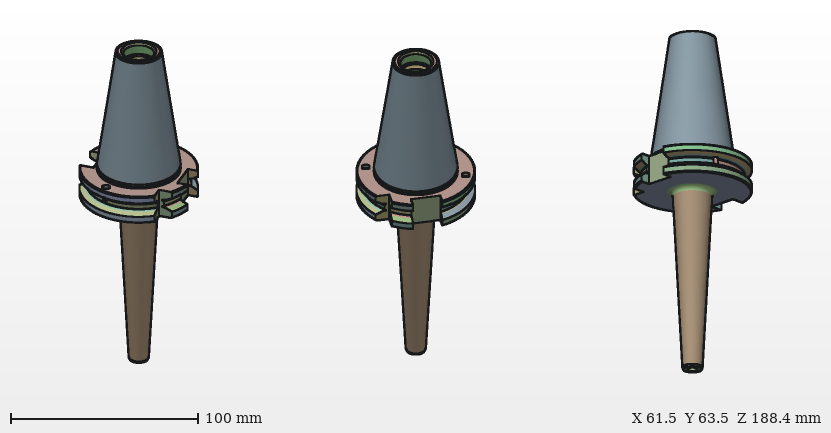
import cadquery as cq
import math

TOTAL_LENGTH = 188.4

TAPER_RATIO = 7 / 24
TAPER_LENGTH = 68.4
GAUGE_DIAMETER = 44.7
TAPER_TOP_CHAMFER = 1.1
TAPER_TOP_CHAMFER_HEIGHT = 0.5
TAPER_BOTTOM_Z = -0.8

RELIEF_DEPTH = 0.4
RELIEF_BOTTOM_Z = -2.8

FLANGE_DIAMETER = 63.5
FLANGE_TOP_Z = -3.2
FLANGE_BOTTOM_Z = -19.2
RIM_CHAMFER = 0.5

GROOVE_CENTRE_Z = -11.1
GROOVE_MOUTH_WIDTH = 8.3
GROOVE_FLOOR_DIAMETER = 56.1
GROOVE_FLOOR_WIDTH = 2.6
GROOVE_FLANK_END_RADIUS = 29.0
GROOVE_CORNER_RELIEF = 0.8
GROOVE_CORNER_WIDTH = 4.1
GROOVE_FLANK_ANGLE = 30.0

SLOT_WIDTH = 16.0
LEFT_SLOT_FLOOR_X = -22.8
RIGHT_SLOT_FLOOR_X = 25.0
NOTCH_OFFSET = 18.5

NECK_RADIUS = 10.5
NECK_FILLET = 2.8
TIP_RADIUS = 5.5
TIP_CHAMFER = 0.5
TIP_CHAMFER_HEIGHT = 1.1

MOUTH_RADIUS = 9.5
COUNTERBORE_RADIUS = 8.3
COUNTERBORE_DEPTH = 6.4
BORE_RELIEF_DEPTH = 0.4
BORE_RELIEF_HEIGHT = 2.0
THREAD_BORE_RADIUS = 7.0
THREAD_BORE_DEPTH = 32.0
DRILL_POINT_ANGLE = 118.0
CENTRE_BORE_RADIUS = 2.6

COOLANT_CIRCLE_RADIUS = 27.0
COOLANT_SEAT_DIAMETER = 4.1
COOLANT_SEAT_DEPTH = 2.3
COOLANT_HOLE_DIAMETER = 3.4
COOLANT_START_ANGLE = 70.0
COOLANT_HOLE_COUNT = 2

flange_radius = FLANGE_DIAMETER / 2
tip_z = TAPER_LENGTH - TOTAL_LENGTH


def taper_radius(z):
    """Radius of the taper at height z."""
    return (GAUGE_DIAMETER - z * TAPER_RATIO) / 2


def make_body():
    """Taper, flange and nose turned from one half profile (radius, height)."""
    chamfer_z = TAPER_LENGTH - TAPER_TOP_CHAMFER_HEIGHT
    chamfer_radius = taper_radius(chamfer_z)
    collar_radius = taper_radius(TAPER_BOTTOM_Z)
    relief_radius = collar_radius - RELIEF_DEPTH
    floor_radius = GROOVE_FLOOR_DIAMETER / 2
    corner_radius = floor_radius - GROOVE_CORNER_RELIEF
    half_floor = GROOVE_FLOOR_WIDTH / 2
    half_mouth = GROOVE_MOUTH_WIDTH / 2
    half_corner = GROOVE_CORNER_WIDTH / 2
    flank_height = (flange_radius - GROOVE_FLANK_END_RADIUS) * math.tan(math.radians(GROOVE_FLANK_ANGLE))
    half_flank_end = half_mouth - flank_height
    return (
        cq.Workplane("YZ")
        .moveTo(0, TAPER_LENGTH)
        .lineTo(chamfer_radius - TAPER_TOP_CHAMFER, TAPER_LENGTH)
        .lineTo(chamfer_radius, chamfer_z)
        .lineTo(collar_radius, TAPER_BOTTOM_Z)
        .lineTo(relief_radius, TAPER_BOTTOM_Z - RELIEF_DEPTH)
        .lineTo(relief_radius, RELIEF_BOTTOM_Z + RELIEF_DEPTH)
        .lineTo(collar_radius, RELIEF_BOTTOM_Z)
        .lineTo(collar_radius, FLANGE_TOP_Z)
        .lineTo(flange_radius - RIM_CHAMFER, FLANGE_TOP_Z)
        .lineTo(flange_radius, FLANGE_TOP_Z - RIM_CHAMFER)
        .lineTo(flange_radius, GROOVE_CENTRE_Z + half_mouth)
        .lineTo(GROOVE_FLANK_END_RADIUS, GROOVE_CENTRE_Z + half_flank_end)
        .lineTo(corner_radius, GROOVE_CENTRE_Z + half_corner)
        .lineTo(floor_radius, GROOVE_CENTRE_Z + half_floor)
        .lineTo(floor_radius, GROOVE_CENTRE_Z - half_floor)
        .lineTo(corner_radius, GROOVE_CENTRE_Z - half_corner)
        .lineTo(GROOVE_FLANK_END_RADIUS, GROOVE_CENTRE_Z - half_flank_end)
        .lineTo(flange_radius, GROOVE_CENTRE_Z - half_mouth)
        .lineTo(flange_radius, FLANGE_BOTTOM_Z + RIM_CHAMFER)
        .lineTo(flange_radius - RIM_CHAMFER, FLANGE_BOTTOM_Z)
        .lineTo(NECK_RADIUS + NECK_FILLET, FLANGE_BOTTOM_Z)
        .radiusArc((NECK_RADIUS, FLANGE_BOTTOM_Z - NECK_FILLET), -NECK_FILLET)
        .lineTo(TIP_RADIUS, tip_z + TIP_CHAMFER_HEIGHT)
        .lineTo(TIP_RADIUS - TIP_CHAMFER, tip_z)
        .lineTo(0, tip_z)
        .close()
        .revolve(360, (0, 0, 0), (0, 1, 0))
    )


def make_bore():
    """Chamfered and relieved counterbore, thread bore with a drill point, and a through centre bore."""
    mouth_chamfer = MOUTH_RADIUS - COUNTERBORE_RADIUS
    counterbore_z = TAPER_LENGTH - COUNTERBORE_DEPTH
    relief_z = counterbore_z - BORE_RELIEF_HEIGHT
    relief_radius = COUNTERBORE_RADIUS + BORE_RELIEF_DEPTH
    step = COUNTERBORE_RADIUS - THREAD_BORE_RADIUS
    thread_z = TAPER_LENGTH - THREAD_BORE_DEPTH
    point_height = (THREAD_BORE_RADIUS - CENTRE_BORE_RADIUS) / math.tan(math.radians(DRILL_POINT_ANGLE / 2))
    return (
        cq.Workplane("YZ")
        .moveTo(0, TAPER_LENGTH)
        .lineTo(MOUTH_RADIUS, TAPER_LENGTH)
        .lineTo(COUNTERBORE_RADIUS, TAPER_LENGTH - mouth_chamfer)
        .lineTo(COUNTERBORE_RADIUS, counterbore_z)
        .lineTo(relief_radius, counterbore_z - BORE_RELIEF_DEPTH)
        .lineTo(relief_radius, relief_z + BORE_RELIEF_DEPTH)
        .lineTo(COUNTERBORE_RADIUS, relief_z)
        .lineTo(THREAD_BORE_RADIUS, relief_z - step)
        .lineTo(THREAD_BORE_RADIUS, thread_z)
        .lineTo(CENTRE_BORE_RADIUS, thread_z - point_height)
        .lineTo(CENTRE_BORE_RADIUS, tip_z)
        .lineTo(0, tip_z)
        .close()
        .revolve(360, (0, 0, 0), (0, 1, 0))
    )


def flange_cutter(x_min, x_max, y_min, y_max):
    """Box over the full flange height between the given X and Y limits."""
    height = FLANGE_TOP_Z - FLANGE_BOTTOM_Z
    return (
        cq.Workplane("XY")
        .box(x_max - x_min, y_max - y_min, height, centered=False)
        .translate((x_min, y_min, FLANGE_BOTTOM_Z))
    )


def make_coolant_holes():
    """Stepped blind holes from the flange top down to the groove, opening through its floor."""
    hole_depth = FLANGE_TOP_Z - (GROOVE_CENTRE_Z - GROOVE_FLOOR_WIDTH / 2)
    holes = cq.Workplane("XY", origin=(0, 0, FLANGE_TOP_Z)).polarArray(
        COOLANT_CIRCLE_RADIUS, COOLANT_START_ANGLE, 360, COOLANT_HOLE_COUNT
    )
    seats = holes.circle(COOLANT_SEAT_DIAMETER / 2).extrude(-COOLANT_SEAT_DEPTH)
    passages = holes.circle(COOLANT_HOLE_DIAMETER / 2).extrude(-hole_depth)
    return seats.union(passages)


half_slot = SLOT_WIDTH / 2
left_slot = flange_cutter(-flange_radius, LEFT_SLOT_FLOOR_X, -half_slot, half_slot)
right_slot = flange_cutter(RIGHT_SLOT_FLOOR_X, flange_radius, -half_slot, half_slot)
notch = flange_cutter(NOTCH_OFFSET, flange_radius, -flange_radius, -NOTCH_OFFSET)

result = (
    make_body()
    .cut(make_bore())
    .cut(left_slot)
    .cut(right_slot)
    .cut(notch)
    .cut(make_coolant_holes())
)